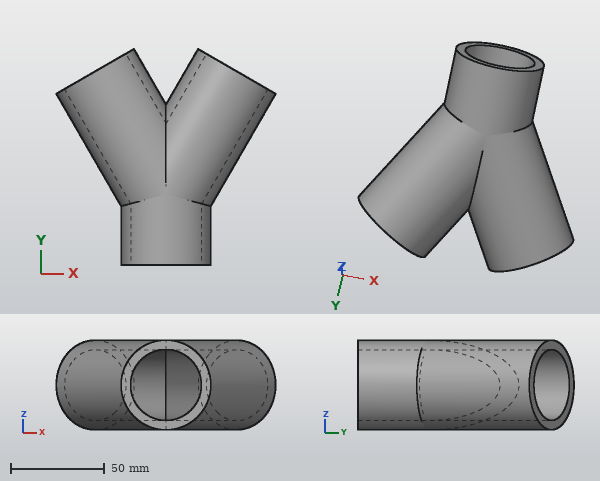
import cadquery as cq

outer_diameter = 48.26
bore_diameter = 38.1
inlet_length = 38.1
branch_length = 76.2
branch_angle = 30.0


def rod_along_y(diameter, length):
    """Solid cylinder from the origin along +Y."""
    return cq.Workplane("XZ").circle(diameter / 2).extrude(-length)


def turned(rod, angle):
    """Rod rotated about the Z axis through the junction."""
    return rod.rotate((0, 0, 0), (0, 0, 1), angle)


def y_shape(diameter):
    """Inlet and both branches joined as solid cylinders of one diameter."""
    shape = turned(rod_along_y(diameter, inlet_length), 180)
    for angle in (branch_angle, -branch_angle):
        shape = shape.union(turned(rod_along_y(diameter, branch_length), angle))
    return shape


result = y_shape(outer_diameter).cut(y_shape(bore_diameter))